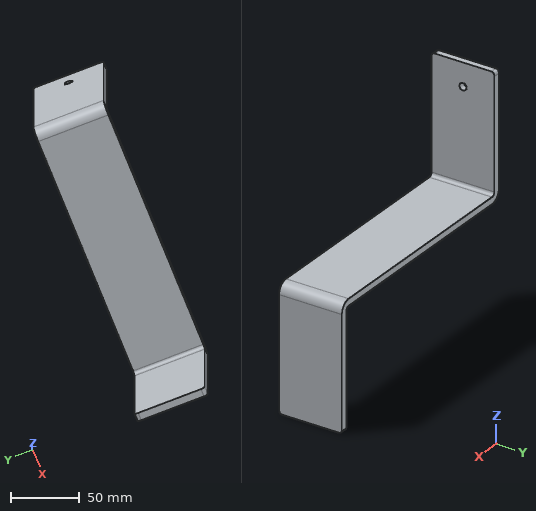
import cadquery as cq

length = 205.0
width = 55.0
height = 209.0
thickness = 6.0
inner_bend_radius = 3.0
outer_bend_radius = inner_bend_radius + thickness
corner_radius = 3.0
hole_diameter = 6.0
hole_from_top = 20.0

half_length = length / 2
half_height = height / 2
half_thickness = thickness / 2


def make_plate(x_min, x_max, z_min, z_max):
    """Flat piece of the strip, spanning the full width."""
    size_x = x_max - x_min
    size_z = z_max - z_min
    center = ((x_min + x_max) / 2, 0, (z_min + z_max) / 2)
    return cq.Workplane("XY").box(size_x, width, size_z).translate(center)


def make_bracket():
    """Shelf with one leg up at -X and one leg down at +X, bends rounded."""
    shelf = make_plate(-half_length, half_length, -half_thickness, half_thickness)
    upper_leg = make_plate(-half_length, -half_length + thickness, -half_thickness, half_height)
    lower_leg = make_plate(half_length - thickness, half_length, -half_height, half_thickness)
    bracket = shelf.union(upper_leg).union(lower_leg)

    for side in (-1, 1):
        outer_edge = (side * half_length, 0, side * half_thickness)
        inner_edge = (side * (half_length - thickness), 0, -side * half_thickness)
        bracket = bracket.edges(cq.NearestToPointSelector(outer_edge)).fillet(outer_bend_radius)
        bracket = bracket.edges(cq.NearestToPointSelector(inner_edge)).fillet(inner_bend_radius)
    return bracket


def round_leg_corners(bracket):
    """Round the two free corners of each leg."""
    return bracket.faces("<Z or >Z").edges("|X").fillet(corner_radius)


def make_hole():
    """Cutter for the mounting hole through the upper leg."""
    return (
        cq.Workplane("YZ", origin=(-half_length, 0, half_height - hole_from_top))
        .circle(hole_diameter / 2)
        .extrude(thickness)
    )


result = round_leg_corners(make_bracket()).cut(make_hole())